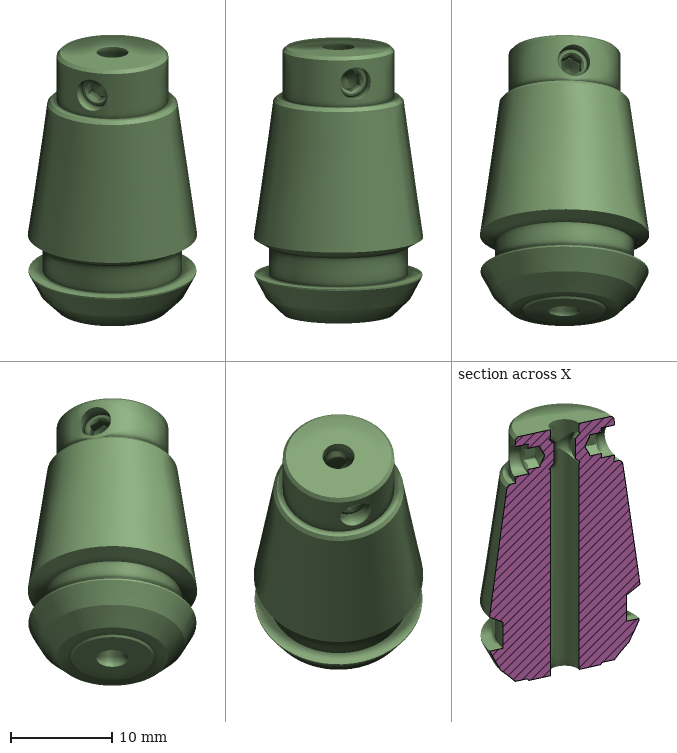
import cadquery as cq
import math

height = 27.0
neck_z = 21.98
taper_z = 7.88
flange_top_z = 4.18
flange_band_z = 4.02
break_z = 1.84
nose_z = 0.22

neck_d = 11.05
taper_d = 16.77
groove_d = 13.8
flange_d = 16.6
break_d = 14.3
lower_end_d = 11.0
pad_top_d = 8.32
pad_bottom_d = 8.05
bore_d = 3.15

taper_angle = 8.0
groove_angle = 30.0
edge_chamfer = 0.32

screw_d = 3.25
screw_z = 24.3
screw_head_y = 4.13
screw_tip_y = 1.2
screw_tip_chamfer = 0.5
screw_head_chamfer = 0.14
hex_across_flats = 1.97
hex_depth = 1.35
hex_cone_depth = 0.55
hex_lead_in_d = 2.48


def make_body():
    """Revolved outline with a through bore."""
    taper_top_z = neck_z - edge_chamfer
    taper_top_r = taper_d / 2 - (taper_top_z - taper_z) * math.tan(math.radians(taper_angle))
    groove_top_z = taper_z - (taper_d - groove_d) / 2 * math.tan(math.radians(groove_angle))
    outline = [
        (bore_d / 2, 0),
        (pad_bottom_d / 2, 0),
        (pad_top_d / 2, nose_z),
        (lower_end_d / 2, nose_z),
        (break_d / 2, break_z),
        (flange_d / 2, flange_band_z),
        (flange_d / 2, flange_top_z),
        (groove_d / 2, flange_top_z),
        (groove_d / 2, groove_top_z),
        (taper_d / 2, taper_z),
        (taper_top_r, taper_top_z),
        (taper_top_r - edge_chamfer, neck_z),
        (neck_d / 2, neck_z),
        (neck_d / 2, height - edge_chamfer),
        (neck_d / 2 - edge_chamfer, height),
        (bore_d / 2, height),
    ]
    return cq.Workplane("XZ").polyline(outline).close().revolve(360, (0, 0, 0), (0, 1, 0))


def make_cone(large_d, small_d, start_y, length):
    """Cone on the screw axis, narrowing from start_y towards +Y."""
    return cq.Workplane(cq.Solid.makeCone(
        large_d / 2, small_d / 2, length, cq.Vector(0, start_y, screw_z), cq.Vector(0, 1, 0)))


def make_screw():
    """Set screw on the -Y side, with a hexagon socket ending in a drill cone."""
    head = cq.Plane(origin=(0, -screw_head_y, screw_z), xDir=(0, 0, 1), normal=(0, 1, 0))
    screw = cq.Workplane(head).circle(screw_d / 2).extrude(screw_head_y - screw_tip_y)
    screw = screw.faces(">Y").chamfer(screw_tip_chamfer)
    screw = screw.faces("<Y").chamfer(screw_head_chamfer)

    hex_corner_d = hex_across_flats / math.cos(math.pi / 6)
    socket = cq.Workplane(head).polygon(6, hex_corner_d).extrude(hex_depth)
    drill_cone = make_cone(hex_across_flats, 0, hex_depth - screw_head_y, hex_cone_depth)
    lead_in_depth = (hex_lead_in_d - hex_across_flats) / 2
    lead_in = make_cone(hex_lead_in_d, hex_across_flats, -screw_head_y, lead_in_depth)
    return screw.cut(socket).cut(drill_cone).cut(lead_in)


cross_hole = (
    cq.Workplane("XZ", origin=(0, 0, screw_z)).circle(screw_d / 2).extrude(neck_d / 2, both=True)
)
result = make_body().cut(cross_hole)

screw_blank = make_screw()
for turn in (0, 180):
    result = result.union(screw_blank.rotate((0, 0, 0), (0, 0, 1), turn))